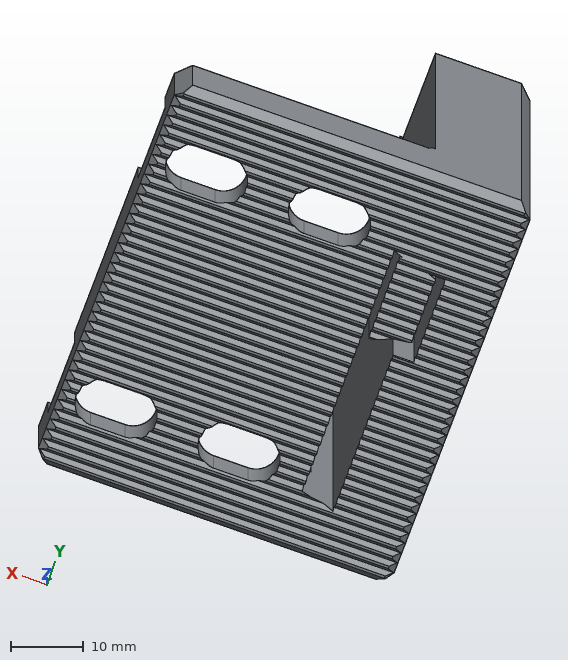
import cadquery as cq
import math


length = 52.0
width = 58.0
height = 56.0
wall_thickness = 14.55
base_thickness = 11.0
inner_corner_chamfer = 1.0
corner_chamfer = 2.0
bottom_chamfer = 1.1

tooth_count = 38
tooth_span = 55.5
tooth_pitch = tooth_span / (tooth_count - 1)
groove_depth = 1.0
flank_slope = math.tan(math.radians(60))
groove_half_width = groove_depth / flank_slope
tip_width = tooth_pitch - 2 * groove_half_width

slot_travel = 5.0
slot_width = 6.6
counterbore_width = 10.6
counterbore_depth = 4.7
slot_spacing = 18.0
inner_slot_x = length / 2
outer_slot_x = inner_slot_x + slot_spacing

taper = math.tan(math.radians(15))
clamp_back = 9.3
clamp_front = 15.0
clamp_center_y = 9.9
clamp_back_width = 9.5
clamp_front_width = 12.4
pin_diameter = 5.0
pin_z = height / 2

channel_back = 11.0
channel_front = 16.0
channel_low_y = -20.05
pocket_back = 8.0
pocket_low_y = 2.55
pocket_high_y = 14.95


def make_body():
    profile = [
        (0, 0),
        (length, 0),
        (length, base_thickness),
        (wall_thickness + inner_corner_chamfer, base_thickness),
        (wall_thickness, base_thickness + inner_corner_chamfer),
        (wall_thickness, height),
        (0, height),
    ]
    body = cq.Workplane("XZ").polyline(profile).close().extrude(width / 2, both=True)
    footprint = (
        cq.Workplane("XY")
        .rect(length, width)
        .extrude(height)
        .edges("|Z").chamfer(corner_chamfer)
        .translate((length / 2, 0, 0))
    )
    bevelled_side = (
        cq.Workplane("XY")
        .box(length, width, height, centered=(False, True, False))
        .edges("|Y and <Z").chamfer(bottom_chamfer)
    )
    return body.intersect(footprint).intersect(bevelled_side)


def upper_wall_y(x):
    """Y of the sloped channel wall that the clamp bar rests against."""
    return clamp_center_y + clamp_back_width / 2 + (x - clamp_back) * taper


def make_channel():
    pocket_high_x = clamp_back + (pocket_high_y - upper_wall_y(clamp_back)) / taper
    outline = [
        (channel_front, channel_low_y),
        (channel_front, upper_wall_y(channel_front)),
        (pocket_high_x, pocket_high_y),
        (pocket_back, pocket_high_y),
        (pocket_back, pocket_low_y),
        (channel_back, pocket_low_y),
        (channel_back, channel_low_y - (channel_front - channel_back) * taper),
    ]
    return cq.Workplane("XY").polyline(outline).close().extrude(height)


def make_clamp():
    back_half = clamp_back_width / 2
    front_half = clamp_front_width / 2
    shoulder_x = clamp_back + (front_half - back_half) / taper
    outline = [
        (clamp_back, -back_half),
        (shoulder_x, -front_half),
        (clamp_front, -front_half),
        (clamp_front, front_half),
        (shoulder_x, front_half),
        (clamp_back, back_half),
    ]
    bar = cq.Workplane("XY").polyline(outline).close().extrude(height)
    pin = (
        cq.Workplane("YZ", origin=(pocket_back, 0, pin_z))
        .circle(pin_diameter / 2)
        .extrude(clamp_back - pocket_back)
    )
    return bar.union(pin).translate((0, clamp_center_y, 0))


def cut_bolt_slots(body):
    ledge_z = base_thickness - counterbore_depth
    for y in (-slot_spacing, slot_spacing):
        for x in (inner_slot_x, outer_slot_x):
            slot = cq.Workplane("XY").center(x, y).slot2D(slot_travel + slot_width, slot_width)
            counterbore = (
                cq.Workplane("XY", origin=(x, y, ledge_z))
                .slot2D(slot_travel + counterbore_width, counterbore_width)
            )
            body = body.cut(slot.extrude(base_thickness)).cut(counterbore.extrude(counterbore_depth))
        run_out = cq.Workplane("XY", origin=(outer_slot_x, y, ledge_z)).box(
            length - outer_slot_x, counterbore_width, counterbore_depth, centered=(False, True, False)
        )
        body = body.cut(run_out)
    return body


def cut_serrations(body):
    groove = (
        cq.Workplane("YZ")
        .polyline([(-groove_half_width, 0), (groove_half_width, 0), (0, groove_depth)])
        .close()
        .extrude(length)
    )
    grooves = cq.Workplane("XY")
    for i in range(tooth_count - 1):
        grooves = grooves.add(groove.translate((0, (i + 0.5) * tooth_pitch - tooth_span / 2, 0)))
    body = body.cut(cq.Workplane(cq.Compound.makeCompound(grooves.vals())))
    flank_y = (tooth_span + tip_width) / 2
    flank_height = (width / 2 - flank_y) * flank_slope
    flank = (
        cq.Workplane("YZ")
        .polyline([(flank_y, 0), (width / 2, 0), (width / 2, flank_height)])
        .close()
        .extrude(length)
    )
    return body.cut(flank).cut(flank.mirror("XZ"))


jaw = cut_bolt_slots(make_body())
jaw = jaw.cut(make_channel()).union(make_clamp())
result = cut_serrations(jaw)